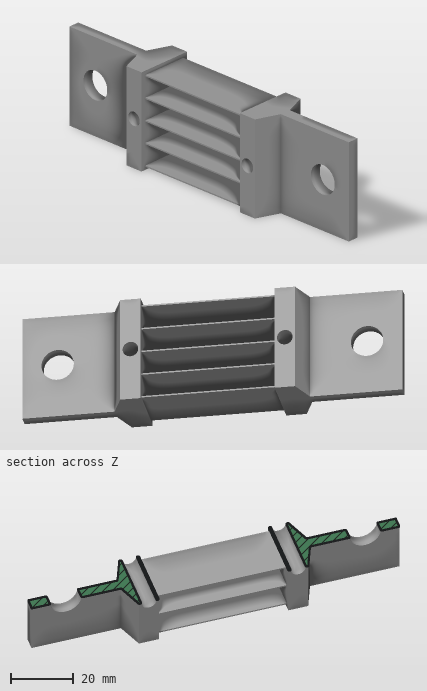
import cadquery as cq

length = 123.0
depth = 21.0
height = 35.0

block_inner_x = 21.6
taper_start_x = 28.3
taper_end_x = 31.6
tab_thickness = 4.0

tab_hole_diameter = 10.5
tab_hole_x = 50.0
tab_hole_z = 0.5
block_hole_diameter = 5.0
block_hole_x = 25.0

plate_count = 5
plate_pitch = 8.0
plate_thickness = 0.5
plate_depth = 17.5
middle_plate_z = -0.2
plate_embed = 0.6


def hole_cutter(diameter, x, z):
    """Cylinder along Y, through the full depth of the part."""
    return (
        cq.Workplane("XZ")
        .center(x, z)
        .circle(diameter / 2)
        .extrude(depth, both=True)
    )


def right_terminal():
    """Terminal on the +X end, with its tab hole and block hole."""
    half_profile = [
        (block_inner_x, depth / 2),
        (taper_start_x, depth / 2),
        (taper_end_x, tab_thickness / 2),
        (length / 2, tab_thickness / 2),
    ]
    mirrored_half = [(x, -y) for x, y in reversed(half_profile)]
    body = (
        cq.Workplane("XY")
        .polyline(half_profile + mirrored_half)
        .close()
        .extrude(height / 2, both=True)
    )
    body = body.cut(hole_cutter(tab_hole_diameter, tab_hole_x, tab_hole_z))
    return body.cut(hole_cutter(block_hole_diameter, block_hole_x, 0))


def plate(z):
    """One thin plate centred at height z."""
    plate_length = 2 * (block_inner_x + plate_embed)
    return cq.Workplane("XY").box(plate_length, plate_depth, plate_thickness).translate((0, 0, z))


terminal = right_terminal()
result = terminal.mirror("YZ")
for index in range(plate_count):
    steps_from_middle = index - (plate_count - 1) / 2
    result = result.union(plate(middle_plate_z + steps_from_middle * plate_pitch))
result = result.union(terminal)